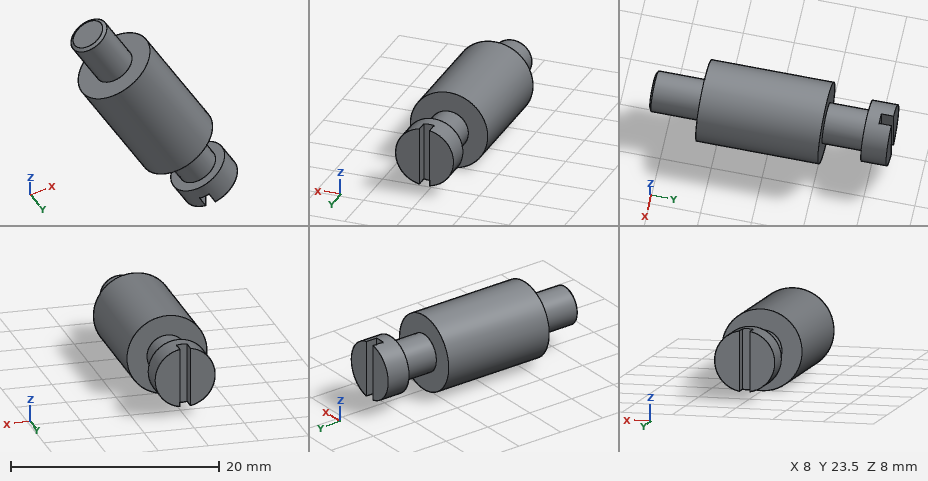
import cadquery as cq

total_length = 23.5
head_length = 2.5
neck_length = 4.0
tail_length = 5.0
body_length = total_length - head_length - neck_length - tail_length

body_diameter = 8.0
shank_diameter = body_diameter / 2
head_diameter = 0.75 * body_diameter

slot_width = 1.05
slot_depth = 1.2
chamfer_length = 0.19
chamfer_radial = 0.35


def cylinder_along_y(diameter, start, length):
    """Solid cylinder running in +Y from the given start."""
    plane = cq.Plane(origin=(0, start, 0), xDir=(1, 0, 0), normal=(0, 1, 0))
    return cq.Workplane(plane).circle(diameter / 2).extrude(length)


head_start = total_length - head_length
tip_radius = shank_diameter / 2 - chamfer_radial
shank_radius = shank_diameter / 2
shank = (
    cq.Workplane("XY")
    .moveTo(0, 0)
    .lineTo(tip_radius, 0)
    .lineTo(shank_radius, chamfer_length)
    .lineTo(shank_radius, head_start)
    .lineTo(0, head_start)
    .close()
    .revolve(360, (0, 0, 0), (0, 1, 0))
)

body = cylinder_along_y(body_diameter, tail_length, body_length)
head = cylinder_along_y(head_diameter, head_start, head_length)

slot = cq.Workplane("XY").box(slot_width, 2 * slot_depth, 2 * head_diameter)
slot = slot.translate((0, total_length, 0))

result = shank.union(body).union(head).cut(slot)